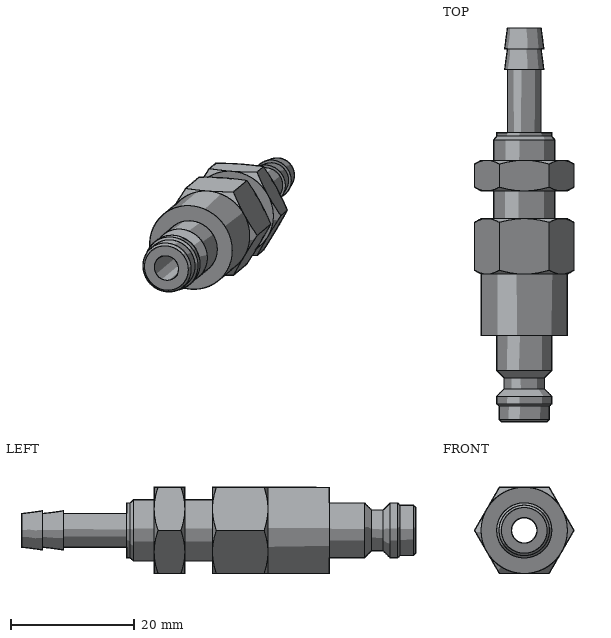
import cadquery as cq
import math

TOTAL_LENGTH = 64.0
HOSE_END = TOTAL_LENGTH / 2
PLUG_END = -TOTAL_LENGTH / 2

HEX_ACROSS_FLATS = 14.0
HEX_CORNER_RADIUS = HEX_ACROSS_FLATS / math.sqrt(3)
HEX_CHAMFER_ANGLE = 30.0
BORE_RADIUS = 2.05

TUBE_RADIUS = 2.75
BARB_RADIUS = 3.2
BARB_LENGTH = 3.4
BARB_COUNT = 2
HOSE_TUBE_LENGTH = 17.0

SHANK_RADIUS = 5.0
COLLAR_RADIUS = 4.5
COLLAR_LENGTH = 0.6
COLLAR_CHAMFER_LENGTH = 0.6
COLLAR_END = HOSE_END - HOSE_TUBE_LENGTH
SHANK_END = COLLAR_END - COLLAR_LENGTH - COLLAR_CHAMFER_LENGTH

NUT_THICKNESS = 5.0
NUT_TO_SHANK_END = 3.3
NUT_HOSE_FACE = SHANK_END - NUT_TO_SHANK_END

HEX_LENGTH = 9.0
NUT_TO_HEX_GAP = 4.5
HOUSING_RADIUS = HEX_ACROSS_FLATS / 2
HOUSING_LENGTH = 10.0
HEX_HOSE_FACE = NUT_HOSE_FACE - NUT_THICKNESS - NUT_TO_HEX_GAP
HEX_PLUG_FACE = HEX_HOSE_FACE - HEX_LENGTH
HOUSING_END = HEX_PLUG_FACE - HOUSING_LENGTH

PLUG_RADIUS = 4.5
GROOVE_RADIUS = 3.3
GROOVE_LENGTH = 1.85
GROOVE_CONE_LENGTH = PLUG_RADIUS - GROOVE_RADIUS
RIM_LENGTH = 1.2
RIM_CHAMFER_LENGTH = 0.4
TIP_RADIUS = 4.1
TIP_LENGTH = 2.55
TIP_CHAMFER = 0.4
TIP_START = PLUG_END + TIP_LENGTH
RIM_START = TIP_START + RIM_CHAMFER_LENGTH
RIM_END = RIM_START + RIM_LENGTH
GROOVE_START = RIM_END + GROOVE_CONE_LENGTH
GROOVE_END = GROOVE_START + GROOVE_LENGTH
GROOVE_CONE_END = GROOVE_END + GROOVE_CONE_LENGTH


def revolve_outline(points):
    """Revolve a closed (radius, y) outline about the Y axis."""
    return cq.Workplane("XY").polyline(points).close().revolve(360, (0, 0, 0), (0, 1, 0))


def cylinder(radius, hose_face, length):
    """A cylinder running from hose_face toward the plug."""
    return cq.Workplane("XZ", origin=(0, hose_face, 0)).circle(radius).extrude(length)


def chamfered_hexagon(hose_face, length):
    """A hexagonal prism with corners on X, cut by a cone at each end."""
    plug_face = hose_face - length
    flat_radius = HEX_ACROSS_FLATS / 2
    cone_drop = (HEX_CORNER_RADIUS - flat_radius) * math.tan(math.radians(HEX_CHAMFER_ANGLE))
    prism = (
        cq.Workplane("XZ", origin=(0, hose_face, 0))
        .polygon(6, 2 * HEX_CORNER_RADIUS)
        .extrude(length)
    )
    envelope = revolve_outline([
        (0, plug_face),
        (flat_radius, plug_face),
        (HEX_CORNER_RADIUS, plug_face + cone_drop),
        (HEX_CORNER_RADIUS, hose_face - cone_drop),
        (flat_radius, hose_face),
        (0, hose_face),
    ])
    return prism.intersect(envelope)


def turned_profile():
    """The round outline of the fitting, from the plug tip to the hose end."""
    points = [
        (0, PLUG_END),
        (TIP_RADIUS - TIP_CHAMFER, PLUG_END),
        (TIP_RADIUS, PLUG_END + TIP_CHAMFER),
        (TIP_RADIUS, TIP_START),
        (PLUG_RADIUS, RIM_START),
        (PLUG_RADIUS, RIM_END),
        (GROOVE_RADIUS, GROOVE_START),
        (GROOVE_RADIUS, GROOVE_END),
        (PLUG_RADIUS, GROOVE_CONE_END),
        (PLUG_RADIUS, HOUSING_END),
        (HOUSING_RADIUS, HOUSING_END),
        (HOUSING_RADIUS, HEX_PLUG_FACE),
        (SHANK_RADIUS, HEX_PLUG_FACE),
        (SHANK_RADIUS, SHANK_END),
        (COLLAR_RADIUS, SHANK_END + COLLAR_CHAMFER_LENGTH),
        (COLLAR_RADIUS, COLLAR_END),
        (TUBE_RADIUS, COLLAR_END),
    ]
    for barbs_left in range(BARB_COUNT, 0, -1):
        barb_base = HOSE_END - barbs_left * BARB_LENGTH
        points.append((TUBE_RADIUS, barb_base))
        points.append((BARB_RADIUS, barb_base))
    points.append((TUBE_RADIUS, HOSE_END))
    points.append((0, HOSE_END))
    return points


def make_fitting():
    """Plug, housing, fixed hexagon, shank and hose barb in one piece."""
    hexagon = chamfered_hexagon(HEX_HOSE_FACE, HEX_LENGTH)
    bore = cylinder(BORE_RADIUS, HOSE_END, TOTAL_LENGTH)
    return revolve_outline(turned_profile()).union(hexagon).cut(bore)


def make_lock_nut():
    """Hexagonal nut whose hole matches the shank."""
    hole = cylinder(SHANK_RADIUS, NUT_HOSE_FACE, NUT_THICKNESS)
    return chamfered_hexagon(NUT_HOSE_FACE, NUT_THICKNESS).cut(hole)


fitting = make_fitting()
lock_nut = make_lock_nut()
result = cq.Compound.makeCompound([fitting.val(), lock_nut.val()])